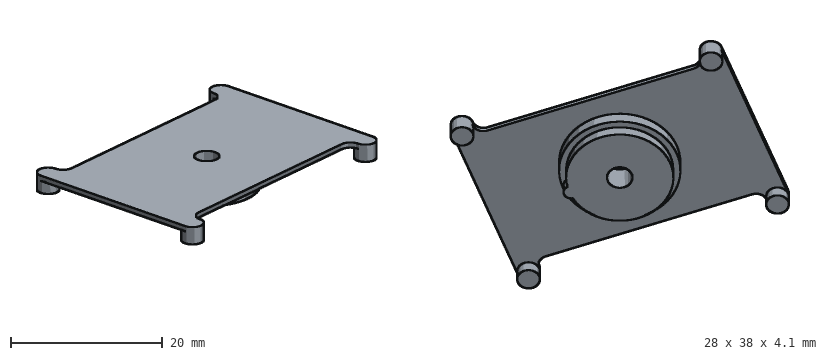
import cadquery as cq

length = 38.0
width = 28.0
plate_thickness = 0.75
pin_diameter = 3.0
pin_height = 2.5
hole_diameter = 3.35

boss_diameter = 16.0
spigot_diameter = 14.15
total_height = 4.1
key_diameter = 2.05
key_reach = 7.83

pin_radius = pin_diameter / 2
pin_x = width / 2 - pin_radius
pin_y = length / 2 - pin_radius
waist_width = width - 2 * pin_diameter
key_y = -(key_reach - key_diameter / 2)

pin_centres = [(x, y) for x in (-pin_x, pin_x) for y in (-pin_y, pin_y)]


def disc(diameter, top, bottom, centres):
    """Upright cylinders between two depths below the top face."""
    return (
        cq.Workplane("XY")
        .workplane(offset=-bottom)
        .pushPoints(centres)
        .circle(diameter / 2)
        .extrude(bottom - top)
    )


def make_plate():
    """Flat plate with round ears that blend into a narrower waist."""
    plate = (
        cq.Workplane("XY")
        .workplane(offset=-plate_thickness)
        .rect(2 * pin_x, length)
        .extrude(plate_thickness)
    )
    recess_height = length - 2 * pin_diameter
    recess_depth = 2 * pin_diameter
    recess = (
        cq.Workplane("XY")
        .workplane(offset=-plate_thickness)
        .pushPoints([(side * (waist_width + recess_depth) / 2, 0) for side in (-1, 1)])
        .rect(recess_depth, recess_height)
        .extrude(plate_thickness)
        .edges("|Z")
        .fillet(pin_radius)
    )
    return plate.cut(recess)


def make_boss():
    """Boss step and smaller spigot, with a round key on the -Y side."""
    step = disc(boss_diameter, plate_thickness, pin_height, [(0, 0)])
    spigot = disc(spigot_diameter, pin_height, total_height, [(0, 0)])
    key = disc(key_diameter, pin_height, total_height, [(0, key_y)])
    return step.union(spigot).union(key)


pins = disc(pin_diameter, 0, pin_height, pin_centres)
hole = disc(hole_diameter, 0, total_height, [(0, 0)])
result = make_plate().union(pins).union(make_boss()).cut(hole)